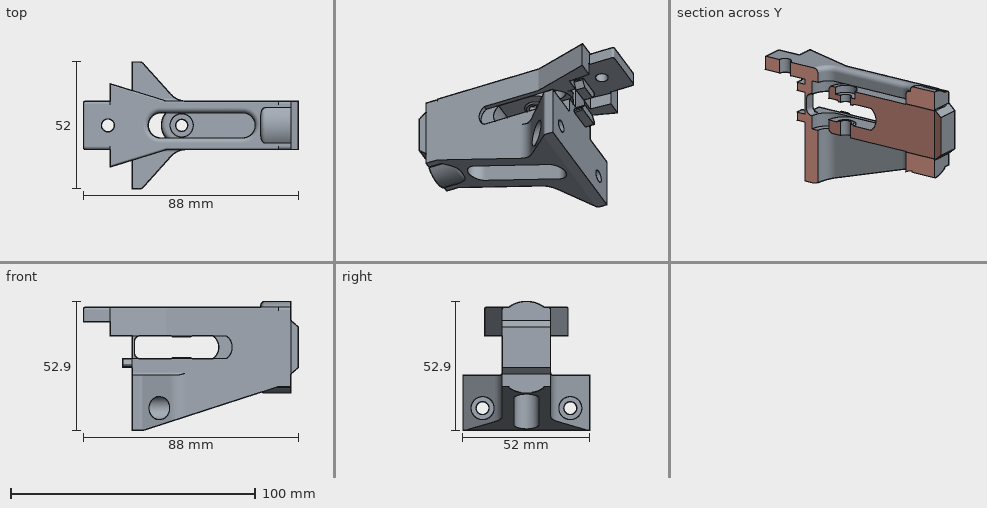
import cadquery as cq
import math


axis_z = 34.1
window_height = 9.3
top_z = 50.5
window_top = axis_z + window_height / 2
window_floor = axis_z - window_height / 2

arm_start = 10.9
face_x = 20.0
collar_start = 79.8
housing_end = 84.9
overall_length = 88

half_width = 9.9
wing_half_width = 17.1
wing_end = 34.0
arm_edge_fillet = 0.8
recess_half_width = 10.6

tongue_thickness = 6.1
tongue_side_fillet = 1.3
tongue_tip_fillet = 0.9
screw_diameter = 5.2
tongue_hole_x = 10.0

foot_end = 24.5
slope_end_z = 17.95
flange_width = 52.0
flange_half_width = flange_width / 2
flange_top = 22.6
diagonal_start_x = 23.85
diagonal_end_x = 38.3
flange_corner_radius = 1.8
flange_top_fillet = 1.0
flange_blend_radius = 8.3
mount_hole_y = 17.95
mount_hole_z = 9.15
mount_bore_diameter = 9.4
mount_seat = 3.5

column_width = 8.7
column_half_width = column_width / 2
column_thickness = 1.0
column_fillet = 2.3
tab_start = 16.0
tab_height = 3.7
tab_straight = 1.1
tab_chamfer = 0.4
tab_half_width = 5.7
tab_neck_half_width = 3.6

channel_half_width = 8.0
channel_half_height = 10.4
slot_radius = 5.1
slot_fillet = 2.1
slot_first_x = 31.7
slot_last_x = 65.2
window_end = 60.9
window_end_bulge = 2.4

dome_radius = 12.1
dome_rise = 2.4
dome_start = 72.5
dome_fillet = 1.85
dome_half_width = math.sqrt(dome_radius**2 - (dome_radius - dome_rise) ** 2)

slide_clearance = 0.2
carriage_half_width = channel_half_width - slide_clearance
carriage_start = 31.9
carriage_end_fillet = 1.9
fork_root = 55.35
axle_x = 40.2
axle_diameter = 4.8
axle_head_diameter = 9.5
axle_head_depth = 3.1
spacer_height = 0.5
spacer_base_radius = 4.3
spacer_tip_radius = 3.5

cover_half_height = 11.0
cover_tip_half_height = 8.3


def edge_zone(x_range, half_y, z_range):
    """Selector for the edges centred inside a box about y = 0, widened by a small margin."""
    margin = 0.4
    return cq.selectors.BoxSelector(
        (x_range[0] - margin, -half_y - margin, z_range[0] - margin),
        (x_range[1] + margin, half_y + margin, z_range[1] + margin),
    )


def block(x_range, half_y, z_range):
    """Box centred on y = 0."""
    length = x_range[1] - x_range[0]
    height = z_range[1] - z_range[0]
    corner = (x_range[0], -half_y, z_range[0])
    return cq.Workplane("XY").box(length, 2 * half_y, height, centered=False).translate(corner)


def round_end_bar(first_x, last_x, radius, z_range):
    """Upright bar with a half-round end about first_x and a flat end at last_x."""
    return (
        cq.Workplane("XY", origin=(0, 0, z_range[0]))
        .moveTo(last_x, -radius)
        .lineTo(first_x, -radius)
        .threePointArc((first_x - radius, 0), (first_x, radius))
        .lineTo(last_x, radius)
        .close()
        .extrude(z_range[1] - z_range[0])
    )


def gap(start_x, end_x, half_y):
    """Gap of the window height whose far end bulges towards +X."""
    corner_x = end_x - window_end_bulge
    return (
        cq.Workplane("XZ", origin=(0, half_y, 0))
        .moveTo(start_x, window_floor)
        .lineTo(corner_x, window_floor)
        .threePointArc((end_x, axis_z), (corner_x, window_top))
        .lineTo(start_x, window_top)
        .close()
        .extrude(2 * half_y)
    )


def mirrored_about_axis(shape):
    """Copy of a shape reflected in the level of the slide's centre line."""
    return shape.mirror("XY", (0, 0, axis_z))


def arm():
    """Upper beam whose front flares into two wings."""
    outline = [
        (arm_start, -wing_half_width),
        (wing_end, -half_width),
        (collar_start, -half_width),
        (collar_start, half_width),
        (wing_end, half_width),
        (arm_start, wing_half_width),
    ]
    beam = (
        cq.Workplane("XY", origin=(0, 0, window_top))
        .polyline(outline)
        .close()
        .extrude(top_z - window_top)
    )
    beam = beam.faces(">Z").edges("not |Y").fillet(arm_edge_fillet)
    recess = (
        cq.Workplane("XY", origin=(0, 0, window_top))
        .polyline(
            [
                (arm_start, -recess_half_width),
                (face_x, -half_width),
                (face_x, half_width),
                (arm_start, recess_half_width),
            ]
        )
        .close()
        .extrude(top_z - tongue_thickness - window_top)
    )
    return beam.cut(recess)


def tongue():
    """Mounting tongue in front of the wings."""
    plate = block((0, face_x), half_width, (top_z - tongue_thickness, top_z))
    plate = plate.faces(">Z").edges("|X").fillet(tongue_side_fillet)
    return plate.faces("<X").edges("not <Z").fillet(tongue_tip_fillet)


def tongue_hole():
    """Screw hole through the tongue."""
    return cq.Workplane("XY", origin=(tongue_hole_x, 0, 0)).circle(screw_diameter / 2).extrude(top_z)


def side_profile(half_y, upper_z):
    """Prism across Y with the foot and the sloping underside."""
    return (
        cq.Workplane("XZ", origin=(0, half_y, 0))
        .polyline(
            [
                (face_x, 0),
                (foot_end, 0),
                (collar_start, slope_end_z),
                (collar_start, upper_z),
                (face_x, upper_z),
            ]
        )
        .close()
        .extrude(2 * half_y)
    )


def flange():
    """Mounting flange, thinned by diagonal rear faces that blend into the body."""
    plan = (
        cq.Workplane("XY")
        .polyline(
            [
                (face_x, -flange_half_width),
                (diagonal_start_x, -flange_half_width),
                (diagonal_end_x, -half_width),
                (collar_start, -half_width),
                (collar_start, half_width),
                (diagonal_end_x, half_width),
                (diagonal_start_x, flange_half_width),
                (face_x, flange_half_width),
            ]
        )
        .close()
        .extrude(top_z)
    )
    corner_zone = edge_zone((diagonal_start_x, diagonal_start_x), flange_half_width, (0, top_z))
    blend_zone = edge_zone((diagonal_end_x, diagonal_end_x), half_width, (0, top_z))
    plan = plan.edges(corner_zone).fillet(flange_corner_radius)
    plan = plan.edges(blend_zone).fillet(flange_blend_radius)

    tee = block((face_x, collar_start), flange_half_width, (0, flange_top))
    tee = tee.union(block((face_x, collar_start), half_width, (flange_top, window_floor)))
    inner_corners = edge_zone((face_x, collar_start), half_width, (flange_top, flange_top))
    tee = tee.edges(inner_corners).edges("|X").fillet(flange_top_fillet)

    plate = plan.intersect(tee).intersect(side_profile(flange_half_width, window_floor))
    for side in (-1, 1):
        centre = (0, side * mount_hole_y, mount_hole_z)
        hole = cq.Workplane("YZ", origin=centre).circle(screw_diameter / 2).extrude(diagonal_end_x)
        seat = (
            cq.Workplane("YZ", origin=centre)
            .workplane(offset=face_x + mount_seat)
            .circle(mount_bore_diameter / 2)
            .extrude(diagonal_end_x)
        )
        plate = plate.cut(hole).cut(seat)
    return plate


def column():
    """Thin post across the open end of the window, flared at both ends."""
    inner_x = face_x + column_thickness
    flared_x = inner_x + column_fillet
    bend = column_fillet * (1 - math.sqrt(0.5))
    return (
        cq.Workplane("XZ", origin=(0, column_half_width, 0))
        .moveTo(face_x, window_floor)
        .lineTo(flared_x, window_floor)
        .threePointArc(
            (inner_x + bend, window_floor + bend),
            (inner_x, window_floor + column_fillet),
        )
        .lineTo(inner_x, window_top - column_fillet)
        .threePointArc(
            (inner_x + bend, window_top - bend),
            (flared_x, window_top),
        )
        .lineTo(face_x, window_top)
        .close()
        .extrude(2 * column_half_width)
    )


def rear_collar():
    """Plate that ends the housing at the rear, with larger top fillets than the arm."""
    plate = block((collar_start, housing_end), half_width, (slope_end_z, top_z))
    return plate.faces(">Z").edges("|X").fillet(tongue_side_fillet)


def guide_tab():
    """Dovetail tab below the window, in front of the mounting face."""
    bottom = window_floor - tab_height
    return (
        cq.Workplane("YZ", origin=(tab_start, 0, 0))
        .polyline(
            [
                (tab_chamfer - tab_half_width, bottom),
                (tab_half_width - tab_chamfer, bottom),
                (tab_half_width, bottom + tab_chamfer),
                (tab_half_width, bottom + tab_straight),
                (tab_neck_half_width, window_floor),
                (-tab_neck_half_width, window_floor),
                (-tab_half_width, bottom + tab_straight),
                (-tab_half_width, bottom + tab_chamfer),
            ]
        )
        .close()
        .extrude(face_x - tab_start)
    )


def rear_dome():
    """Shallow cylindrical crown above the rear of the flat top."""
    crest_z = top_z + dome_rise
    crown = (
        cq.Workplane("YZ", origin=(dome_start, 0, crest_z - dome_radius))
        .circle(dome_radius)
        .extrude(housing_end - dome_start)
    )
    crown = crown.faces("<X").edges().fillet(dome_fillet)
    levels = (axis_z + channel_half_height, crest_z)
    return crown.intersect(block((dome_start, housing_end), dome_half_width, levels))


def access_slot():
    """Long slot straight through the arm and the underside."""
    length = slot_last_x - slot_first_x + 2 * slot_radius
    middle_x = (slot_first_x + slot_last_x) / 2
    return cq.Workplane("XY", origin=(middle_x, 0, 0)).slot2D(length, 2 * slot_radius).extrude(top_z)


def round_slot_rim(body):
    """Round the upper rim of the access slot."""
    rim_x = (slot_first_x - slot_radius, slot_last_x + slot_radius)
    rim = edge_zone(rim_x, slot_radius, (top_z, top_z))
    return body.edges(rim).fillet(slot_fillet)


def make_housing():
    """Arm, foot, flange and tongue as one solid, hollowed by the slide channel."""
    channel_levels = (axis_z - channel_half_height, axis_z + channel_half_height)
    channel = round_end_bar(slot_first_x, housing_end, channel_half_width, channel_levels)
    window = gap(face_x, window_end, half_width)

    body = side_profile(half_width, top_z - arm_edge_fillet).union(flange())
    body = body.union(arm()).union(tongue())
    body = body.union(rear_collar())
    body = body.union(rear_dome()).union(mirrored_about_axis(rear_dome()))
    body = body.cut(window).cut(channel)
    body = body.union(column())
    body = body.union(guide_tab()).union(mirrored_about_axis(guide_tab()))
    return round_slot_rim(body.cut(tongue_hole()).cut(access_slot()))


def spacer():
    """Conical seat for the idler on the lower fork face."""
    cone = cq.Solid.makeCone(
        spacer_base_radius,
        spacer_tip_radius,
        spacer_height,
        pnt=cq.Vector(axle_x, 0, window_floor),
    )
    return cq.Workplane(cone)


def make_carriage():
    """Fork that fills the channel and carries the idler axle."""
    levels = (axis_z - channel_half_height, axis_z + channel_half_height)
    nose_x = carriage_start + carriage_half_width
    body = round_end_bar(nose_x, housing_end, carriage_half_width, levels)
    nose_edges = edge_zone((carriage_start, nose_x), carriage_half_width, levels)
    body = body.edges("%CIRCLE").edges(nose_edges).fillet(carriage_end_fillet)
    body = body.cut(gap(carriage_start, fork_root, carriage_half_width))
    body = body.union(spacer()).union(mirrored_about_axis(spacer()))
    axle_hole = cq.Workplane("XY", origin=(axle_x, 0, 0)).circle(axle_diameter / 2).extrude(top_z)
    head_seat = (
        cq.Workplane("XY", origin=(axle_x, 0, levels[1] - axle_head_depth))
        .circle(axle_head_diameter / 2)
        .extrude(axle_head_depth)
    )
    return body.cut(axle_hole).cut(head_seat)


def make_end_cover():
    """Plate with bevelled upper and lower sides that closes the rear end of the channel."""
    return (
        cq.Workplane("XZ", origin=(0, half_width, 0))
        .polyline(
            [
                (housing_end, axis_z - cover_half_height),
                (overall_length, axis_z - cover_tip_half_height),
                (overall_length, axis_z + cover_tip_half_height),
                (housing_end, axis_z + cover_half_height),
            ]
        )
        .close()
        .extrude(2 * half_width)
    )


housing = make_housing()
carriage = make_carriage()
end_cover = make_end_cover()
result = cq.Compound.makeCompound([housing.val(), carriage.val(), end_cover.val()])